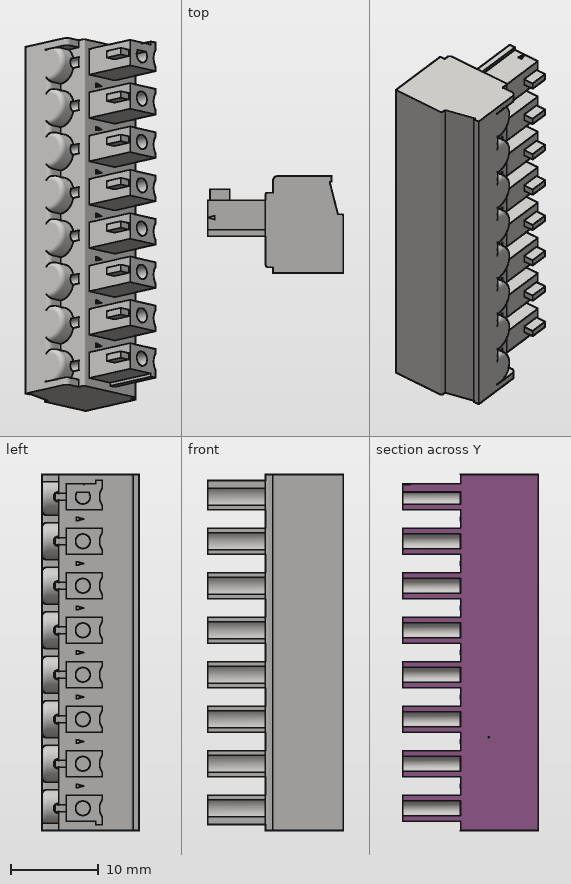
import cadquery as cq
HEIGHT = 40.65
POLE_COUNT = 8
PITCH = HEIGHT / POLE_COUNT
POLE_CENTRES = [PITCH * (i + 0.5) for i in range(POLE_COUNT)]

PLATE_X = 6.6
BLOCK_X = 7.45
BACK_X = 15.5
DEPTH = 11.1
PLATE_Y_MIN = 0.65
PLATE_Y_MAX = 9.2
PLATE_ROUND = 0.35
PLATE_REAR_ROUND = 0.25
LIP_X = 14.15
LIP_UNDERCUT = 0.2
LIP_Y = 10.4
SLOPE_FOOT_X = 14.87
SHOULDER_Y = 6.75
SHOULDER_ROUND = 0.2
TOP_ROUND = 0.55

END_WALL = 0.85
BARREL_RADIUS = 2.1
BARREL_FRONT_X = 8.2
RECESS_X = BARREL_FRONT_X + BARREL_RADIUS
BORE_RADIUS = 0.55

PLUG_Y_MIN = 4.2
PLUG_Y_MAX = 8.35
PLUG_HEIGHT = 3.0
GROOVE_WIDTH = 2.0
GROOVE_DEPTH = 0.33
HOLE_Y = 6.42
HOLE_DIAMETER = 1.65
HOLE_DEPTH = PLATE_X
HOLE_FLAT = 0.53
FOOT_WIDTH = 0.77
FOOT_HEIGHT = 0.35

KEY_X = 0.25
KEY_LENGTH = 2.28
KEY_WIDTH = 0.77
KEY_TOP_Y = 9.6

MARK_Y = 6.35
MARK_LENGTH = 0.8
MARK_WIDTH = 0.45
MARK_DEPTH = 0.12


def box(x_range, y_range, z_range):
    """Axis-aligned block between the given limits."""
    size = [high - low for low, high in (x_range, y_range, z_range)]
    corner = (x_range[0], y_range[0], z_range[0])
    return cq.Workplane("XY").box(*size, centered=False).translate(corner)


def make_housing():
    """Full-height extrusion of the housing cross-section."""
    outline = [
        (BLOCK_X, 0),
        (BACK_X, 0),
        (BACK_X, SHOULDER_Y),
        (SLOPE_FOOT_X, SHOULDER_Y),
        (LIP_X - LIP_UNDERCUT, LIP_Y),
        (LIP_X, LIP_Y),
        (LIP_X, DEPTH),
        (BLOCK_X, DEPTH),
        (BLOCK_X, PLATE_Y_MAX),
        (PLATE_X, PLATE_Y_MAX),
        (PLATE_X, PLATE_Y_MIN),
        (BLOCK_X, PLATE_Y_MIN),
    ]
    housing = cq.Workplane("XY").polyline(outline).close().extrude(HEIGHT)
    rounds = [
        (PLATE_X, PLATE_Y_MIN, PLATE_ROUND),
        (PLATE_X, PLATE_Y_MAX, PLATE_REAR_ROUND),
        (BLOCK_X, DEPTH, TOP_ROUND),
        (BACK_X, SHOULDER_Y, SHOULDER_ROUND),
    ]
    for x, y, radius in rounds:
        corner = cq.selectors.NearestToPointSelector((x, y, HEIGHT / 2))
        housing = housing.edges("|Z").edges(corner).fillet(radius)
    return housing


def make_barrel_recess():
    """Material removed around the screw barrels."""
    z_range = (END_WALL, HEIGHT - END_WALL)
    recess = box((BLOCK_X, RECESS_X), (PLATE_Y_MAX, DEPTH), z_range)
    floor_edge = box(
        (RECESS_X, RECESS_X + TOP_ROUND), (DEPTH - TOP_ROUND, DEPTH), z_range
    )
    floor_round = (
        cq.Workplane("XY")
        .center(RECESS_X + TOP_ROUND, DEPTH - TOP_ROUND)
        .circle(TOP_ROUND)
        .extrude(HEIGHT)
    )
    recess = recess.union(floor_edge.cut(floor_round))
    barrel = (
        cq.Workplane("XZ", origin=(RECESS_X, DEPTH, 0))
        .pushPoints([(0, z) for z in POLE_CENTRES])
        .circle(BARREL_RADIUS)
        .extrude(DEPTH - PLATE_Y_MAX)
        .faces(">Y")
        .edges()
        .fillet(TOP_ROUND)
    )
    return recess.cut(barrel)


def make_plug(z):
    """Rectangular plug with a concave front face, centred on height z."""
    half_height = PLUG_HEIGHT / 2
    half_groove = GROOVE_WIDTH / 2
    return (
        cq.Workplane("YZ")
        .moveTo(PLUG_Y_MAX, z - half_height)
        .lineTo(PLUG_Y_MAX, z + half_height)
        .lineTo(PLUG_Y_MIN, z + half_height)
        .lineTo(PLUG_Y_MIN, z + half_groove)
        .threePointArc((PLUG_Y_MIN + GROOVE_DEPTH, z), (PLUG_Y_MIN, z - half_groove))
        .lineTo(PLUG_Y_MIN, z - half_height)
        .close()
        .extrude(PLATE_X)
    )


def make_key(z):
    """Straight latch key on the side of a plug."""
    return box(
        (KEY_X, KEY_X + KEY_LENGTH),
        (PLUG_Y_MAX, KEY_TOP_Y),
        (z - KEY_WIDTH / 2, z + KEY_WIDTH / 2),
    )


def make_barrel_bore(z):
    """Blind round bore into the front of a screw barrel."""
    return (
        cq.Workplane("YZ", origin=(BLOCK_X, PLATE_Y_MAX, z))
        .circle(BORE_RADIUS)
        .extrude(RECESS_X - BLOCK_X)
    )


def make_foot(z_min, z_max):
    """Coding foot along the full length of an end plug."""
    return box((0, PLATE_X), (PLUG_Y_MIN, PLUG_Y_MIN + FOOT_WIDTH), (z_min, z_max))


def make_hole(z):
    """Round contact hole running the length of a plug."""
    return (
        cq.Workplane("YZ", origin=(0, HOLE_Y, z))
        .circle(HOLE_DIAMETER / 2)
        .extrude(HOLE_DEPTH)
    )


def make_flat_hole(z):
    """Contact hole with a flat on its upper side."""
    below_flat = box((0, HOLE_DEPTH), (0, DEPTH), (0, z + HOLE_FLAT))
    return make_hole(z).intersect(below_flat)


def make_face_mark(z):
    """Arrow engraved in the plug face of the housing, pointing to -Y."""
    base_y = MARK_Y + MARK_LENGTH
    corners = [(base_y, MARK_WIDTH / 2), (base_y, -MARK_WIDTH / 2), (MARK_Y, 0)]
    return (
        cq.Workplane("YZ", origin=(PLATE_X, 0, z))
        .polyline(corners)
        .close()
        .extrude(MARK_DEPTH)
    )


def make_top_mark(top_z):
    """Arrow engraved in the top of the last plug, pointing to its tip."""
    corners = [(0, 0), (MARK_LENGTH, MARK_WIDTH / 2), (MARK_LENGTH, -MARK_WIDTH / 2)]
    return (
        cq.Workplane("XY", origin=(0, MARK_Y, top_z - MARK_DEPTH))
        .polyline(corners)
        .close()
        .extrude(MARK_DEPTH)
    )


result = make_housing().cut(make_barrel_recess())

for centre in POLE_CENTRES:
    result = result.cut(make_barrel_bore(centre))
    result = result.union(make_plug(centre))
    result = result.union(make_key(centre))

first_plug_bottom = POLE_CENTRES[0] - PLUG_HEIGHT / 2
last_plug_top = POLE_CENTRES[-1] + PLUG_HEIGHT / 2
result = result.union(make_foot(first_plug_bottom - FOOT_HEIGHT, first_plug_bottom))
result = result.union(make_foot(last_plug_top, last_plug_top + FOOT_HEIGHT))

for centre in POLE_CENTRES[:-1]:
    result = result.cut(make_hole(centre))
    result = result.cut(make_face_mark(centre + PITCH / 2))

result = result.cut(make_flat_hole(POLE_CENTRES[-1]))
result = result.cut(make_top_mark(last_plug_top))